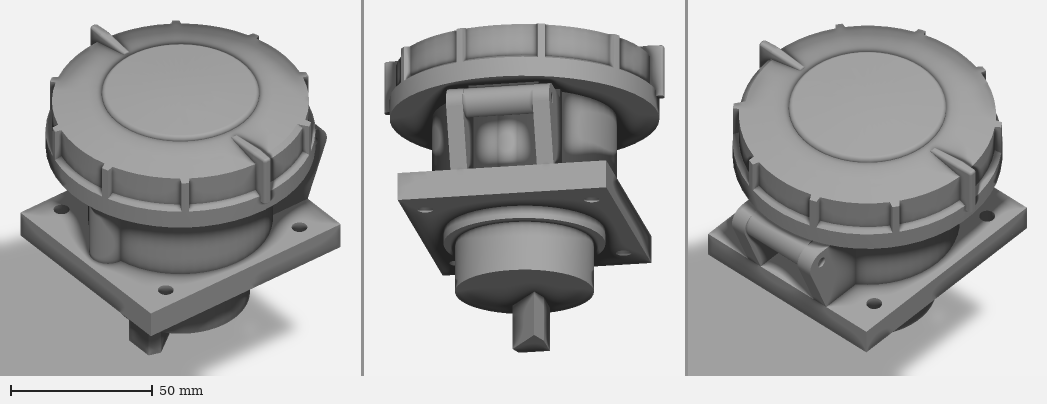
import cadquery as cq
import math

LUG_TOP = 16.2
DRUM_TOP = 34.1
GASKET_BOTTOM = 38.8
FLANGE_BOTTOM = 40.9
FLANGE_TOP = 48.9
CAP_BOTTOM = 80.8
RIM_TOP = 87.9
GRIP_BOTTOM = 89.4
CAP_EDGE = 100.9
CONE_TOP = 104.0
CROWN_EDGE = 105.9
TOTAL_HEIGHT = 107.4

FLANGE_WIDTH = 75.2
FLANGE_DEPTH = 85.3
HOLE_SPACING = 60.0
HOLE_DIAMETER = 5.6
DRUM_RADIUS = 24.6
NECK_RADIUS = 28.7
COLUMN_RADIUS = 32.7
KEY_RADIUS = 6.7
FRONT_KEY_REACH = 39.2
BACK_KEY_REACH = 33.6

RIM_RADIUS = 47.8
GRIP_RADIUS = 45.5
CROWN_RADIUS = 27.9
CROWN_ROUND = 1.6
RIB_COUNT = 10
RIB_OUTER_WIDTH = 2.6
RIB_INNER_WIDTH = 3.4
POCKET_MARGIN = 3.2
BEVEL_WIDTH = 1.9
BEVEL_DROP = 1.1

WING_INNER_END = 30.7
WING_BEND = 44.0
WING_OUTER_END = 100.8 / 2
WING_BOTTOM = 85.9
WING_TOP = 105.0
WING_TIP_HEIGHT = 104.1
WING_INNER_WIDTH = 2.6
WING_WIDTH = 3.8
WING_OUTER_WIDTH = 3.0
WING_ROUND = 1.0

HINGE_Y = 45.2
HINGE_Z = 72.6
EAR_RADIUS = 5.6
EAR_REACH_Y = 51.2
BARREL_RADIUS = 5.2
HINGE_HOLE_DIAMETER = 4.0
EAR_OUTER_X = 18.6
EAR_INNER_X = 12.6
EAR_TOP = 77.6
EAR_STEP_Y = 30.4
EAR_ROOT_Y = 21.5
ARM_FRONT_Y = 34.6
ARM_BACK_Y = 39.7
ARM_BARREL_Y = 40.0
ARM_SLOPE_TOP_Z = 80.1
ARM_SLOPE_END_Y = 47.1
ARM_SLOPE_END_Z = 77.2

LUG_HALF_WIDTH = 5.6
LUG_FRONT_Y = -18.7
LUG_SIDE_Y = -7.2
LUG_BACK_X = -3.4
LUG_BACK_Y = -0.3
LUG_RIGHT_X = 7.0
LUG_RIGHT_Y = -14.2


def disc(radius, bottom, top):
    return cq.Workplane("XY").workplane(offset=bottom).circle(radius).extrude(top - bottom)


def plate(bottom, top):
    """Rectangular plate with its four mounting holes."""
    blank = cq.Workplane("XY").workplane(offset=bottom).rect(FLANGE_WIDTH, FLANGE_DEPTH).extrude(top - bottom)
    return (
        blank.faces(">Z").workplane()
        .rect(HOLE_SPACING, HOLE_SPACING, forConstruction=True)
        .vertices().hole(HOLE_DIAMETER)
    )


def make_lug():
    outline = [
        (-LUG_HALF_WIDTH, LUG_FRONT_Y),
        (LUG_HALF_WIDTH, LUG_FRONT_Y),
        (LUG_RIGHT_X, LUG_RIGHT_Y),
        (LUG_BACK_X, LUG_BACK_Y),
        (-LUG_HALF_WIDTH, LUG_SIDE_Y),
    ]
    return cq.Workplane("XY").polyline(outline).close().extrude(LUG_TOP)


def make_key(centre_y):
    """Round bar sunk into the column's wall, standing out as a key."""
    return disc(KEY_RADIUS, FLANGE_TOP, CAP_BOTTOM).translate((0, centre_y, 0))


def cone_height(radius):
    """Height of the sloping cap top at a distance from the axis."""
    slope = (CONE_TOP - CAP_EDGE) / (GRIP_RADIUS - CROWN_RADIUS)
    return CAP_EDGE + slope * (GRIP_RADIUS - radius)


def make_cap_blank():
    """Turned cap before the grip pockets: rim, sloping top and domed crown with a rounded edge."""
    crown_edge_radius = CROWN_RADIUS - CROWN_ROUND
    dome_rise = TOTAL_HEIGHT - CROWN_EDGE
    dome_radius = (crown_edge_radius**2 + dome_rise**2) / (2 * dome_rise)
    return (
        cq.Workplane("XZ")
        .moveTo(0, CAP_BOTTOM)
        .lineTo(RIM_RADIUS, CAP_BOTTOM)
        .lineTo(RIM_RADIUS, cone_height(RIM_RADIUS))
        .lineTo(CROWN_RADIUS, CONE_TOP)
        .lineTo(CROWN_RADIUS, CROWN_EDGE - CROWN_ROUND)
        .radiusArc((crown_edge_radius, CROWN_EDGE), -CROWN_ROUND)
        .radiusArc((0, TOTAL_HEIGHT), -dome_radius)
        .close()
        .revolve(360, (0, 0, 0), (0, 1, 0))
    )


def rib_flank(radius, side):
    """Point on a rib's flank, for the rib half a pitch away on the given side of +X."""
    taper = (RIB_INNER_WIDTH - RIB_OUTER_WIDTH) / (RIM_RADIUS - GRIP_RADIUS)
    half_width = (RIB_OUTER_WIDTH + taper * (RIM_RADIUS - radius)) / 2
    angle = math.pi / RIB_COUNT
    x = radius * math.cos(angle) + half_width * math.sin(angle)
    y = radius * math.sin(angle) - half_width * math.cos(angle)
    return (x, side * y)


def between_ribs(profile):
    """Turn an XZ profile round the axis and keep the stretch between two ribs, centred on +X."""
    inner = GRIP_RADIUS - POCKET_MARGIN
    outer = RIM_RADIUS + POCKET_MARGIN
    outline = [rib_flank(inner, -1), rib_flank(outer, -1), rib_flank(outer, 1), rib_flank(inner, 1)]
    wedge = cq.Workplane("XY").polyline(outline).close().extrude(TOTAL_HEIGHT)
    ring = cq.Workplane("XZ").polyline(profile).close().revolve(360, (0, 0, 0), (0, 1, 0))
    return ring.intersect(wedge)


def make_grip_pocket():
    """Cutter for one grip pocket, above the rim's sloping shoulder."""
    outer = RIM_RADIUS + POCKET_MARGIN
    shoulder_slope = (GRIP_BOTTOM - RIM_TOP) / (RIM_RADIUS - GRIP_RADIUS)
    return between_ribs([
        (GRIP_RADIUS, GRIP_BOTTOM),
        (outer, RIM_TOP - shoulder_slope * POCKET_MARGIN),
        (outer, TOTAL_HEIGHT),
        (GRIP_RADIUS, TOTAL_HEIGHT),
    ])


def make_bevel():
    """Cutter that bevels the top edge of one grip pocket."""
    inner = GRIP_RADIUS - BEVEL_WIDTH
    return between_ribs([
        (inner, cone_height(inner)),
        (GRIP_RADIUS, CAP_EDGE - BEVEL_DROP),
        (RIM_RADIUS, CAP_EDGE - BEVEL_DROP),
        (RIM_RADIUS, TOTAL_HEIGHT),
        (inner, TOTAL_HEIGHT),
    ])


def make_wing():
    """Upright turning wing at +X, tapered in plan and rounded along its top and outer end."""
    plan = [
        (WING_INNER_END, -WING_INNER_WIDTH / 2),
        (WING_BEND, -WING_WIDTH / 2),
        (WING_OUTER_END, -WING_OUTER_WIDTH / 2),
        (WING_OUTER_END, WING_OUTER_WIDTH / 2),
        (WING_BEND, WING_WIDTH / 2),
        (WING_INNER_END, WING_INNER_WIDTH / 2),
    ]
    side = [
        (WING_INNER_END, WING_BOTTOM),
        (WING_OUTER_END, WING_BOTTOM),
        (WING_OUTER_END, WING_TOP),
        (WING_BEND, WING_TOP),
        (WING_INNER_END, WING_TIP_HEIGHT),
    ]
    blank = cq.Workplane("XY").workplane(offset=WING_BOTTOM).polyline(plan).close()
    blank = blank.extrude(WING_TOP - WING_BOTTOM)
    profile = cq.Workplane("XZ").polyline(side).close().extrude(WING_WIDTH, both=True)
    wing = blank.intersect(profile)
    upper_edges = cq.selectors.BoxSelector(
        (WING_INNER_END - 1.1, -WING_WIDTH, WING_TIP_HEIGHT - WING_ROUND),
        (WING_OUTER_END + 1.1, WING_WIDTH, WING_TOP + 1.1),
    )
    return wing.edges(upper_edges).fillet(WING_ROUND).edges(">X and |Z").fillet(WING_ROUND)


def make_cap():
    """Cap with grip pockets all round, one of them bevelled, and two wings, each standing over a rib."""
    cap = make_cap_blank()
    pitch = 360 / RIB_COUNT
    pocket = make_grip_pocket()
    for i in range(RIB_COUNT):
        cap = cap.cut(pocket.rotate((0, 0, 0), (0, 0, 1), pitch * (i + 0.5)))
    cap = cap.cut(make_bevel().rotate((0, 0, 0), (0, 0, 1), pitch / 2))
    wing = make_wing()
    for angle in (0, 180):
        cap = cap.union(wing.rotate((0, 0, 0), (0, 0, 1), angle))
    return cap


def along_hinge(sketch, half_width):
    """Extrude a YZ outline evenly to both sides of the middle plane."""
    return sketch.extrude(half_width, both=True)


def hinge_disc(radius, half_width):
    return along_hinge(cq.Workplane("YZ").center(HINGE_Y, HINGE_Z).circle(radius), half_width)


def make_ears():
    """Pair of hinge ears rising from the flange behind the column."""
    back_y = FLANGE_DEPTH / 2
    round_y = EAR_REACH_Y - EAR_RADIUS
    round_z = EAR_TOP - EAR_RADIUS
    to_flange_y = back_y - round_y
    to_flange_z = FLANGE_TOP - round_z
    tangent_angle = math.atan2(to_flange_z, to_flange_y)
    tangent_angle += math.acos(EAR_RADIUS / math.hypot(to_flange_y, to_flange_z))
    tangent = (
        round_y + EAR_RADIUS * math.cos(tangent_angle),
        round_z + EAR_RADIUS * math.sin(tangent_angle),
    )
    outline = (
        cq.Workplane("YZ")
        .moveTo(EAR_ROOT_Y, FLANGE_TOP)
        .lineTo(back_y, FLANGE_TOP)
        .lineTo(*tangent)
        .threePointArc((EAR_REACH_Y, round_z), (round_y, EAR_TOP))
        .lineTo(EAR_STEP_Y, EAR_TOP)
        .lineTo(EAR_STEP_Y, CAP_BOTTOM)
        .lineTo(EAR_ROOT_Y, CAP_BOTTOM)
        .close()
    )
    slot = cq.Workplane("XY").box(
        2 * EAR_INNER_X, 2 * HINGE_Y, TOTAL_HEIGHT, centered=(True, False, False)
    )
    return along_hinge(outline, EAR_OUTER_X).cut(slot)


def make_hinge_arm():
    """Barrel between the ears and the arm that carries the cap."""
    outline = [
        (ARM_BARREL_Y, HINGE_Z),
        (ARM_FRONT_Y, CAP_BOTTOM),
        (ARM_BACK_Y, CAP_BOTTOM),
        (ARM_BACK_Y, ARM_SLOPE_TOP_Z),
        (ARM_SLOPE_END_Y, ARM_SLOPE_END_Z),
        (HINGE_Y, HINGE_Z),
    ]
    arm = along_hinge(cq.Workplane("YZ").polyline(outline).close(), EAR_INNER_X)
    return arm.union(hinge_disc(BARREL_RADIUS, EAR_INNER_X))


def make_housing():
    """Socket housing with its closed cap and hinge."""
    body = make_lug()
    body = body.union(disc(DRUM_RADIUS, LUG_TOP, DRUM_TOP))
    body = body.union(disc(NECK_RADIUS, DRUM_TOP, FLANGE_BOTTOM))
    body = body.union(plate(FLANGE_BOTTOM, FLANGE_TOP))
    body = body.union(disc(COLUMN_RADIUS, FLANGE_TOP, CAP_BOTTOM))
    body = body.union(make_key(KEY_RADIUS - FRONT_KEY_REACH))
    body = body.union(make_key(BACK_KEY_REACH - KEY_RADIUS))
    body = body.union(make_ears())
    body = body.union(make_hinge_arm())
    body = body.cut(hinge_disc(HINGE_HOLE_DIAMETER / 2, EAR_OUTER_X))
    return body.union(make_cap())


def make_gasket():
    """Flat gasket under the flange, fitted round the neck."""
    return plate(GASKET_BOTTOM, FLANGE_BOTTOM).cut(disc(NECK_RADIUS, GASKET_BOTTOM, FLANGE_BOTTOM))


housing = make_housing()
gasket = make_gasket()
result = cq.Compound.makeCompound([housing.val(), gasket.val()])